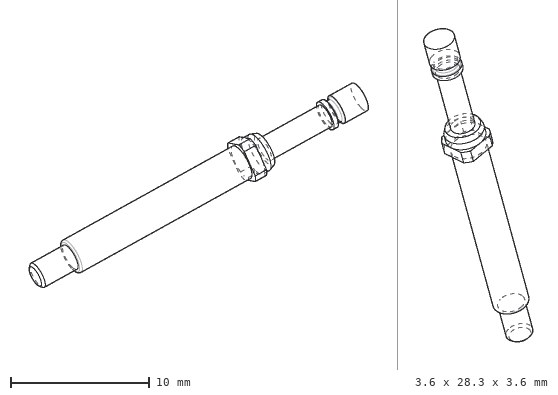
import cadquery as cq

LENGTH = 28.3

HEAD_DIA = 2.3
HEAD_END = 2.0
RING_DIA = HEAD_DIA
RING_START = 2.6
RING_END = 3.0
NECK_FILLET = 0.15

SHANK_DIA = 1.8

SHOULDER_DIA = 3.0
SHOULDER_START = 8.3
NOSE_DIA = 2.65
NOSE_LENGTH = 0.45

COLLAR_START = 9.3
COLLAR_END = 10.3
COLLAR_ACROSS_FLATS = SHOULDER_DIA
COLLAR_ACROSS_CORNERS = 3.6
COLLAR_TURN = 45

BODY_DIA = 2.7
BODY_END = 25.25
BODY_FILLET = 0.15
TIP_DIA = 2.0
TIP_CHAMFER = 0.2


def plane_at(station):
    """Workplane across the axis whose extrusions run toward -Y."""
    return cq.Workplane("XZ", origin=(0, LENGTH / 2 - station, 0))


def cylinder(diameter, start, end):
    """Cylinder on the axis between two stations."""
    return plane_at(start).circle(diameter / 2).extrude(end - start)


def make_head():
    """Head, neck and ring, with a fillet at both ends of the neck."""
    neck = cylinder(SHANK_DIA, HEAD_END, RING_START)
    neck_ends = cq.selectors.BoxSelector(
        (-SHANK_DIA, LENGTH / 2 - RING_START - NECK_FILLET, -SHANK_DIA),
        (SHANK_DIA, LENGTH / 2 - HEAD_END + NECK_FILLET, SHANK_DIA),
    )
    return (
        cylinder(HEAD_DIA, 0, HEAD_END)
        .union(neck)
        .union(cylinder(RING_DIA, RING_START, RING_END))
        .edges(neck_ends)
        .edges(cq.selectors.RadiusNthSelector(0))
        .fillet(NECK_FILLET)
    )


def make_shoulder():
    """Shoulder whose +Y rim tapers down to the nose diameter."""
    nose_step = (SHOULDER_DIA - NOSE_DIA) / 2
    return (
        cylinder(SHOULDER_DIA, SHOULDER_START, COLLAR_START)
        .faces(">Y")
        .chamfer(NOSE_LENGTH, nose_step)
    )


def make_collar():
    """Square collar with its corners rounded about the axis."""
    square = (
        plane_at(COLLAR_START)
        .transformed(rotate=(0, 0, COLLAR_TURN))
        .rect(COLLAR_ACROSS_FLATS, COLLAR_ACROSS_FLATS)
        .extrude(COLLAR_END - COLLAR_START)
    )
    return square.intersect(cylinder(COLLAR_ACROSS_CORNERS, COLLAR_START, COLLAR_END))


def make_body():
    """Long body with a rounded -Y rim."""
    return cylinder(BODY_DIA, COLLAR_END, BODY_END).edges("<Y").fillet(BODY_FILLET)


def make_tip():
    """Tip with a chamfered -Y rim."""
    return cylinder(TIP_DIA, BODY_END, LENGTH).faces("<Y").chamfer(TIP_CHAMFER)


result = (
    make_head()
    .union(cylinder(SHANK_DIA, RING_END, SHOULDER_START))
    .union(make_shoulder())
    .union(make_collar())
    .union(make_body())
    .union(make_tip())
)